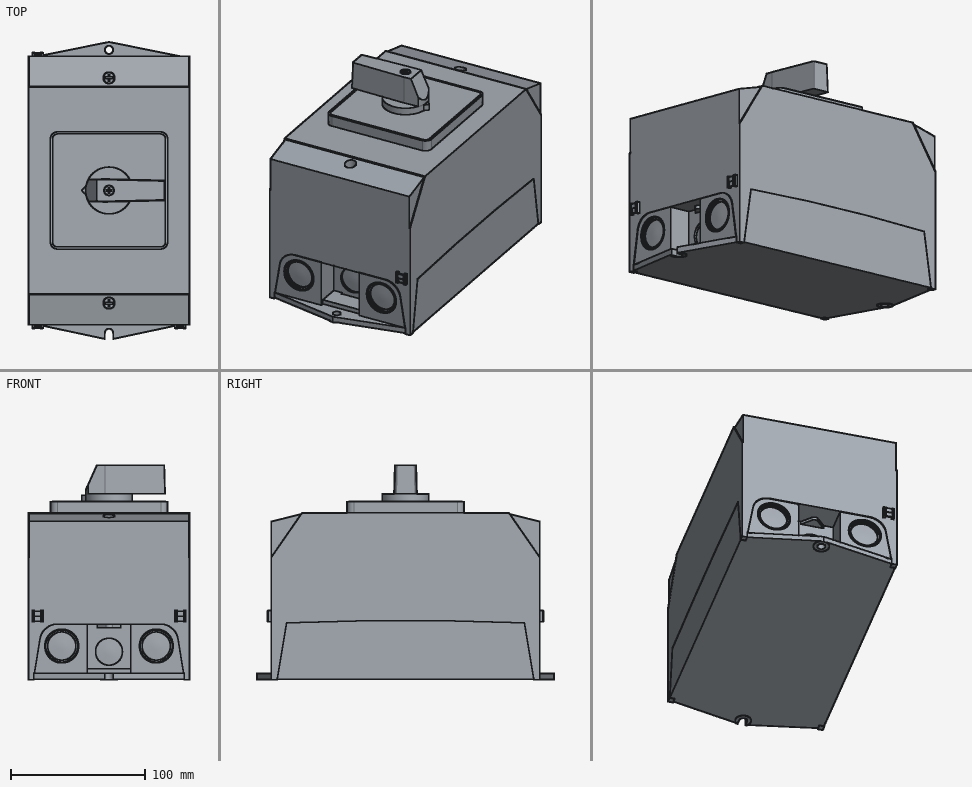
import cadquery as cq
import math

body_width = 120.0
body_length = 200.3
body_top = 124.5
half_width = body_width / 2
half_length = body_length / 2
slope_start = 77.0
slope_end_height = 118.0
cap_step = 0.7
cap_low_height = 91.3
foot_height = 0.5
foot_inner_edge = 56.0

panel_depth = 0.2
panel_half_bottom = 95.7
panel_half_top = 88.6
panel_side_height = 42.5
panel_top_height = 44.3

plate_half_width = foot_inner_edge
plate_top = 4.9
plate_tip = 110.8
mount_hole_diameter = 6.0
mount_pad_diameter = 12.0
mount_hole_offset = 104.8
mount_slot_offset = 106.1

entry_depth = 0.7
entry_half_bottom = 55.5
entry_side_angle = 9.2
entry_top = 41.6
entry_corner_radius = 13.3
window_width = 32.1
window_depth = 18.8
sill_height = 8.5
sill_setback = 2.2
entry_face = -half_length + entry_depth
window_back = entry_face + window_depth
knockout_offset = 35.2
knockout_height = 25.3
ring_diameter = 25.3
ring_height = 0.5
seat_diameter = 24.0
seat_depth = 0.9
knockout_disc_diameter = 21.0
knockout_depth = 2.2
centre_recess_diameter = 20.2
centre_recess_height = 21.0
centre_recess_depth = 2.0
cone_height = 0.7
lug_half_width = 8.9
lug_nose_half_width = 2.5
lug_drop = 2.7
lug_length = 6.6
floor_slot_length = 1.8
floor_slot_depth = 2.7

latch_offset = 53.2
latch_width = 8.5
latch_bottom = 43.2
latch_top = 51.8
latch_reach = 2.9
latch_chamfer = 0.7
latch_arm = 1.8
latch_bar_thickness = 1.8
latch_bar_inset = 0.7
latch_bar_setback = 0.5
latch_bar_notch = 0.5

cover_screw_offset = 84.0
cover_hole_diameter = 8.6
cover_head_diameter = 8.2
cover_head_top = 115.2
cover_cross = (5.3, 1.3)
cross_depth = 1.0
head_height = 1.3

switch_plate_size = 87.3
switch_plate_top = 133.1
switch_plate_radius = 5.0
switch_plate_rim = 1.5
switch_plate_step = 0.2
disc_radius = 17.5
disc_top = 138.7
pointer_tip = 20.4
pointer_half_width = 3.5
pointer_top = 137.8

handle_top = 160.2
handle_end = 41.9
handle_end_half_width = 7.5
handle_half_width = 8.6
handle_widest = -3.0
handle_nose_half_width = 8.2
handle_draft = 1.6
handle_corner_radius = 0.7
nose_top = -9.0
nose_foot = -17.5
nose_foot_height = 141.3
handle_hole_diameter = 7.5
handle_head_diameter = 7.0
handle_head_depth = 0.5
handle_cross = (4.2, 0.9)


def block(x_range, y_range, z_range):
    """Box given by its limits along each axis."""
    size = [high - low for low, high in (x_range, y_range, z_range)]
    return cq.Workplane("XY").box(*size, centered=False).translate((x_range[0], y_range[0], z_range[0]))


def cylinder(diameter, height, x, y, z):
    """Upright cylinder standing on the point x, y, z."""
    return cq.Workplane("XY", origin=(x, y, z)).circle(diameter / 2).extrude(height)


def both_ends(shape):
    """The shape together with its mirror image at the other Y end."""
    return shape.union(shape.mirror("XZ"))


def screw_recess(hole_diameter, head_diameter, head_top, opening_top, cross_size, y):
    """Upright hole from opening_top, leaving a cross-headed screw standing in it."""
    span, arm = cross_size
    floor = head_top - head_height
    hole = cylinder(hole_diameter, opening_top - floor, 0, y, floor)
    head = cylinder(head_diameter, head_height, 0, y, floor)
    cross_plane = cq.Workplane("XY", origin=(0, y, head_top))
    cross = cross_plane.rect(span, arm).extrude(-cross_depth)
    cross = cross.union(cross_plane.rect(arm, span).extrude(-cross_depth))
    return hole.cut(head.cut(cross))


def enclosure():
    """Box with sloped end caps set back from its sides and top."""
    side = [
        (-half_length, 0),
        (half_length, 0),
        (half_length, cap_low_height),
        (slope_start, body_top),
        (-slope_start, body_top),
        (-half_length, cap_low_height),
    ]
    shell = cq.Workplane("YZ").polyline(side).close().extrude(half_width, both=True)
    cap = (
        cq.Workplane("YZ")
        .polyline([
            (0, cap_low_height),
            (half_length, cap_low_height),
            (half_length, slope_end_height),
            (slope_start, body_top - cap_step),
            (0, body_top - cap_step),
        ])
        .close()
        .extrude(half_width - cap_step, both=True)
    )
    return shell.union(both_ends(cap))


def skirt_panels():
    """Shallow recesses low on both sides, and the clearance between the corner feet."""
    panel = (
        cq.Workplane("YZ", origin=(half_width - panel_depth, 0, 0))
        .moveTo(-panel_half_bottom, 0)
        .lineTo(-panel_half_top, panel_side_height)
        .threePointArc((0, panel_top_height), (panel_half_top, panel_side_height))
        .lineTo(panel_half_bottom, 0)
        .close()
        .extrude(panel_depth)
    )
    side_gap = block(
        (-half_width, half_width), (-panel_half_bottom, panel_half_bottom), (0, foot_height))
    end_gap = block(
        (-foot_inner_edge, foot_inner_edge), (-half_length, half_length), (0, foot_height))
    return panel.union(panel.mirror("YZ")).union(side_gap).union(end_gap)


def mounting_plate():
    """Base plate with pointed ends, one round hole and one open slot."""
    plate_corner = half_length - entry_depth
    outline = [
        (plate_half_width, plate_corner),
        (0, plate_tip),
        (-plate_half_width, plate_corner),
        (-plate_half_width, -plate_corner),
        (-mount_hole_diameter / 2, -plate_tip),
        (mount_hole_diameter / 2, -plate_tip),
        (plate_half_width, -plate_corner),
    ]
    thickness = plate_top - foot_height
    plate = cq.Workplane("XY", origin=(0, 0, foot_height)).polyline(outline).close().extrude(thickness)
    pad_limits = cq.Workplane("XY").polyline(outline).close().extrude(plate_top)
    for y in (mount_hole_offset, -mount_slot_offset):
        plate = plate.union(cylinder(mount_pad_diameter, plate_top, 0, y, 0).intersect(pad_limits))
    for y in (mount_hole_offset, -mount_slot_offset):
        plate = plate.cut(cylinder(mount_hole_diameter, plate_top, 0, y, 0))
    radius = mount_hole_diameter / 2
    return plate.cut(block((-radius, radius), (-plate_tip, -mount_slot_offset), (0, plate_top)))


def entry_recess():
    """Arched recess, central window and its fittings at the -Y end."""
    entry_half_top = entry_half_bottom - (entry_top - plate_top) * math.tan(math.radians(entry_side_angle))
    arch = (
        cq.Workplane("XZ", origin=(0, entry_face, 0))
        .polyline([
            (-entry_half_bottom, plate_top),
            (-entry_half_top, entry_top),
            (entry_half_top, entry_top),
            (entry_half_bottom, plate_top),
        ])
        .close()
        .extrude(entry_depth)
        .edges(">Z and |Y")
        .fillet(entry_corner_radius)
    )
    under_arch = block(
        (-plate_half_width, plate_half_width), (-half_length, entry_face), (0, plate_top))
    half_window = window_width / 2
    window = block((-half_window, half_window), (entry_face, window_back), (sill_height, entry_top))
    step = block(
        (-half_window, half_window), (entry_face, entry_face + sill_setback), (plate_top, sill_height))
    floor_slot = block(
        (-lug_half_width, lug_half_width),
        (window_back - floor_slot_length, window_back),
        (sill_height - floor_slot_depth, sill_height),
    )
    recess = arch.union(under_arch).union(window).union(step).union(floor_slot).cut(window_lug())
    centre = revolved_about_y(
        [
            (0, 0),
            (centre_recess_diameter / 2, 0),
            (centre_recess_diameter / 2, centre_recess_depth),
            (0, centre_recess_depth - cone_height),
        ],
        0, window_back, centre_recess_height,
    )
    return recess.union(centre)


def revolved_about_y(profile, x, y, z):
    """Solid of revolution from (radius, depth) points, placed at x, y, z."""
    outline = cq.Workplane("XY").polyline(profile).close()
    return outline.revolve(360, (0, 0, 0), (0, 1, 0)).translate((x, y, z))


def knockout_ring(x):
    """Low ring standing round a knockout."""
    radius = ring_diameter / 2
    profile = [(0, 0), (radius, 0), (radius, -ring_height), (0, -ring_height)]
    return revolved_about_y(profile, x, entry_face, knockout_height)


def knockout_seat(x):
    """Stepped cavity inside a knockout ring, with a low conical floor."""
    seat_radius = seat_diameter / 2
    floor_radius = knockout_disc_diameter / 2
    profile = [
        (0, -ring_height),
        (seat_radius, -ring_height),
        (seat_radius, seat_depth),
        (floor_radius, seat_depth),
        (floor_radius, knockout_depth),
        (0, knockout_depth - cone_height),
    ]
    return revolved_about_y(profile, x, entry_face, knockout_height)


def window_lug():
    """Rounded lug hanging from the window's ceiling at its back wall."""
    return (
        cq.Workplane("XY", origin=(0, window_back, entry_top - lug_drop))
        .moveTo(-lug_half_width, 0)
        .lineTo(-lug_nose_half_width, -lug_length)
        .threePointArc((0, -lug_length - lug_nose_half_width / 2), (lug_nose_half_width, -lug_length))
        .lineTo(lug_half_width, 0)
        .close()
        .extrude(lug_drop)
    )


def latch(x):
    """U-shaped catch on the -Y wall: two arms joined by a stepped bar."""
    height = latch_top - latch_bottom
    half_opening = latch_width / 2 - latch_arm
    across = (-half_opening, half_opening)
    bar_front = -latch_reach + latch_bar_setback
    bar_back = -latch_reach + latch_bar_thickness
    catch = block((-latch_width / 2, latch_width / 2), (-latch_reach, 0), (0, height))
    catch = catch.faces("<Y").chamfer(latch_chamfer)
    catch = catch.cut(block(across, (-latch_reach, 0), (0, height)))
    upper_bar = block(across, (bar_front, bar_back), (height / 2, height - latch_bar_inset))
    lower_bar = block(across, (bar_front + latch_bar_notch, bar_back), (latch_bar_inset, height / 2))
    return catch.union(upper_bar).union(lower_bar).translate((x, -half_length, latch_bottom))


def cover_screw(y):
    """Screw sunk in a sloped end cap."""
    return screw_recess(
        cover_hole_diameter, cover_head_diameter, cover_head_top, body_top, cover_cross, y)


def switch_plate():
    """Square plate with rounded corners and a slightly raised field inside its rim."""
    rim_top = switch_plate_top - switch_plate_step
    field_size = switch_plate_size - 2 * switch_plate_rim
    plate = rounded_square(switch_plate_size, switch_plate_radius, body_top, rim_top)
    field_radius = switch_plate_radius - switch_plate_rim
    return plate.union(rounded_square(field_size, field_radius, rim_top, switch_plate_top))


def rounded_square(size, radius, bottom, top):
    """Square slab centred on the Z axis with rounded upright edges."""
    slab = cq.Workplane("XY", origin=(0, 0, bottom)).rect(size, size).extrude(top - bottom)
    return slab.edges("|Z").fillet(radius)


def knob():
    """Round disc with a pointer, carrying the drafted handle."""
    disc = cylinder(2 * disc_radius, disc_top - switch_plate_top, 0, 0, switch_plate_top)
    pointer = (
        cq.Workplane("XY", origin=(0, 0, switch_plate_top))
        .polyline([
            (0, -pointer_half_width),
            (pointer_half_width - pointer_tip, -pointer_half_width),
            (-pointer_tip, 0),
            (pointer_half_width - pointer_tip, pointer_half_width),
            (0, pointer_half_width),
        ])
        .close()
        .extrude(pointer_top - switch_plate_top)
    )
    nose_x = -math.sqrt(disc_radius**2 - handle_nose_half_width**2)
    handle = (
        cq.Workplane("XY", origin=(0, 0, disc_top))
        .moveTo(nose_x, -handle_nose_half_width)
        .lineTo(handle_widest, -handle_half_width)
        .lineTo(handle_end, -handle_end_half_width)
        .lineTo(handle_end, handle_end_half_width)
        .lineTo(handle_widest, handle_half_width)
        .lineTo(nose_x, handle_nose_half_width)
        .threePointArc((-disc_radius, 0), (nose_x, -handle_nose_half_width))
        .close()
        .extrude(handle_top - disc_top, taper=handle_draft)
        .faces(">X")
        .edges("not |Y")
        .fillet(handle_corner_radius)
    )
    nose_cut = (
        cq.Workplane("XZ")
        .polyline([
            (nose_top, handle_top),
            (nose_foot, nose_foot_height),
            (nose_foot, handle_top),
        ])
        .close()
        .extrude(disc_radius, both=True)
    )
    handle = handle.cut(nose_cut)
    handle = handle.cut(screw_recess(
        handle_hole_diameter,
        handle_head_diameter,
        handle_top - handle_head_depth,
        handle_top,
        handle_cross,
        0,
    ))
    return disc.union(pointer).union(handle)


result = enclosure().cut(skirt_panels()).cut(both_ends(entry_recess()))
for knockout_x in (-knockout_offset, knockout_offset):
    result = result.union(both_ends(knockout_ring(knockout_x)))
    result = result.cut(both_ends(knockout_seat(knockout_x)))
result = result.union(mounting_plate())
for latch_x in (-latch_offset, latch_offset):
    result = result.union(latch(latch_x))
result = result.union(latch(-latch_offset).mirror("XZ"))
for screw_y in (-cover_screw_offset, cover_screw_offset):
    result = result.cut(cover_screw(screw_y))
result = result.union(switch_plate()).union(knob())